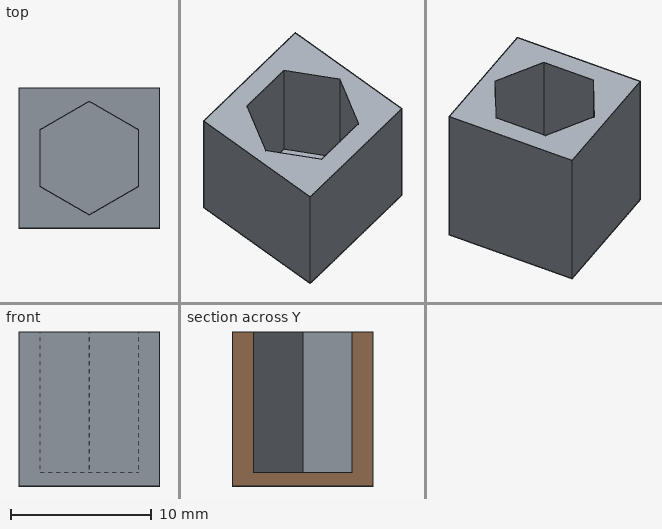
import cadquery as cq
import math

height = 11.0
side = 10.0

across_flats = 7.0
floor_thickness = 1.0
socket_depth = height - floor_thickness
across_corners = across_flats / math.cos(math.radians(30))
corner_turn = 30

block = cq.Workplane("XY").box(side, side, height, centered=(True, True, False))

socket = (
    cq.Workplane("XY")
    .workplane(offset=floor_thickness)
    .transformed(rotate=(0, 0, corner_turn))
    .polygon(6, across_corners)
    .extrude(socket_depth)
)

result = block.cut(socket)